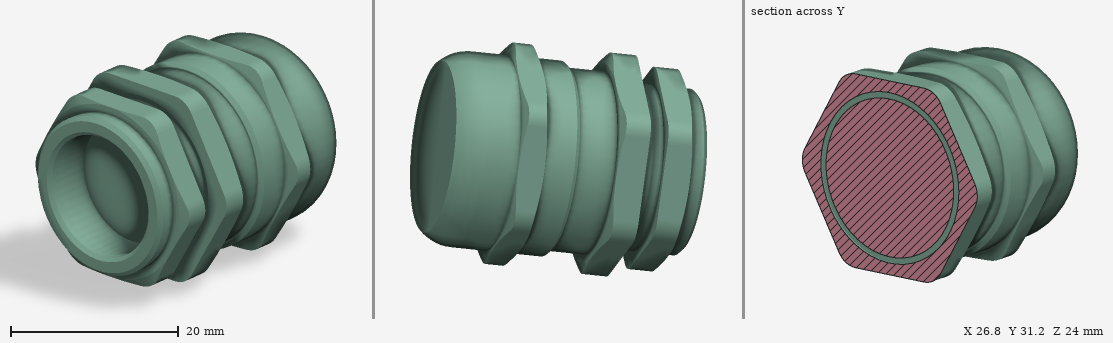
import cadquery as cq
import math

LENGTH = 31.25

THREAD_DIA = 20.0
THREAD_CHAMFER = 0.5
BORE_DIA = 15.3
BORE_CHAMFER = 0.47
BORE_DEPTH = 6.12

THREAD_END = 6.0
RING_START = 6.53
RING_END = 8.47
RING_SEAT_DIA = 19.25
RING_RECESS_DIA = 21.0

BODY_DIA = 22.0
CAP_DIA = 23.5
CAP_START = 16.2
CAP_CHAMFER = 0.5
DOME_START = 27.75
DOME_RADIUS = 5.0

NUT_START = 2.2
NUT_WIDTH = 3.35
NUT_FLATS = 22.0
BODY_HEX_START = 8.03
BODY_HEX_WIDTH = 3.5
CAP_HEX_START = 20.28
CAP_HEX_WIDTH = 3.4
HEX_FLATS = 24.0
HEX_CORNER_RADIUS = 3.0
HEX_CHAMFER_ANGLE = 20.0


def revolve_about_y(profile):
    return profile.close().revolve(360, (0, 0, 0), (0, 1, 0))


def hexagon(start, width, flats, face_dia, bevel_front, bevel_back):
    """Rounded hexagon with flats facing +Z and -Z and optional conical bevels around its end faces."""
    corner_dia = flats / math.cos(math.radians(30))
    prism = (
        cq.Workplane("XZ", origin=(0, start, 0))
        .polygon(6, corner_dia)
        .extrude(-width)
        .edges("|Y")
        .fillet(HEX_CORNER_RADIUS)
    )
    inner = face_dia / 2
    outer = corner_dia / 2
    bevel = (outer - inner) * math.tan(math.radians(HEX_CHAMFER_ANGLE))
    end = start + width
    profile = cq.Workplane("XY").moveTo(0, start)
    if bevel_front:
        profile = profile.lineTo(inner, start).lineTo(outer, start + bevel)
    else:
        profile = profile.lineTo(outer, start)
    if bevel_back:
        profile = profile.lineTo(outer, end - bevel).lineTo(inner, end)
    else:
        profile = profile.lineTo(outer, end)
    return prism.intersect(revolve_about_y(profile.lineTo(0, end)))


def ring_recess():
    """Round pocket in the front face of the body hexagon that takes the sealing ring."""
    return (
        cq.Workplane("XZ", origin=(0, BODY_HEX_START, 0))
        .circle(RING_RECESS_DIA / 2)
        .extrude(BODY_HEX_START - RING_END)
    )


def turned_body():
    """Revolved thread, sealing ring, body and domed cap."""
    thread_r = THREAD_DIA / 2
    seat_r = RING_SEAT_DIA / 2
    cap_r = CAP_DIA / 2
    ring_middle = (RING_START + RING_END) / 2

    dome_center_r = cap_r - DOME_RADIUS
    end_angle = math.asin((LENGTH - DOME_START) / DOME_RADIUS)

    def dome_point(angle):
        radius = dome_center_r + DOME_RADIUS * math.cos(angle)
        return radius, DOME_START + DOME_RADIUS * math.sin(angle)

    return revolve_about_y(
        cq.Workplane("XY")
        .lineTo(thread_r - THREAD_CHAMFER, 0)
        .lineTo(thread_r, THREAD_CHAMFER)
        .lineTo(thread_r, THREAD_END)
        .lineTo(seat_r, RING_START)
        .threePointArc((thread_r, ring_middle), (seat_r, RING_END))
        .lineTo(BODY_DIA / 2, RING_END)
        .lineTo(BODY_DIA / 2, CAP_START)
        .lineTo(cap_r - CAP_CHAMFER, CAP_START)
        .lineTo(cap_r, CAP_START + CAP_CHAMFER)
        .lineTo(cap_r, DOME_START)
        .threePointArc(dome_point(end_angle / 2), dome_point(end_angle))
        .lineTo(0, LENGTH)
    )


def bore():
    """Blind hole in the threaded end with a chamfered mouth."""
    radius = BORE_DIA / 2
    return revolve_about_y(
        cq.Workplane("XY")
        .lineTo(radius + BORE_CHAMFER, 0)
        .lineTo(radius, BORE_CHAMFER)
        .lineTo(radius, BORE_DEPTH)
        .lineTo(0, BORE_DEPTH)
    )


lock_nut = hexagon(NUT_START, NUT_WIDTH, NUT_FLATS, NUT_FLATS, True, False)
body_hex = hexagon(BODY_HEX_START, BODY_HEX_WIDTH, HEX_FLATS, HEX_FLATS, False, True).cut(ring_recess())
cap_hex = hexagon(CAP_HEX_START, CAP_HEX_WIDTH, HEX_FLATS, CAP_DIA, True, True)

result = turned_body().union(lock_nut).union(body_hex).union(cap_hex).cut(bore())